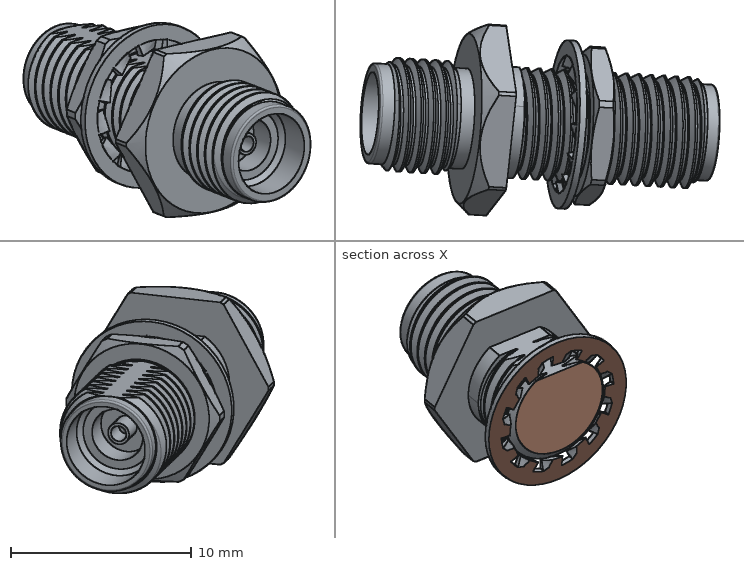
import cadquery as cq
import math

AXIS = cq.Vector(1, 0, 0)

LENGTH = 19.3
LEFT_THREAD_START = 0.71
COLLAR_START = 11.2
FLANGE_START = 12.15
FLANGE_END = 13.95
RIGHT_THREAD_START = 14.73
RIGHT_THREAD_END = 18.49

LEFT_SLEEVE_R = 2.68
RIGHT_SLEEVE_R = 2.8
SLEEVE_FILLET = 0.12
FLAT_HEIGHT = 2.66

THREAD_R = 3.17
PITCH = 0.706
CREST_WIDTH = 0.12
FLANK_SLOPE = math.tan(math.radians(30))
LEFT_ROOT_R = 2.72
RIGHT_ROOT_R = 2.78
LEFT_CREST_X = 0.93
RIGHT_CREST_X = 15.07
LEAD = 0.58
RIDGE_EMBED = 0.05

FLANGE_FLATS = 9.53
FLANGE_CORNER_R = 5.45
FLANGE_FACE_R = 4.73
FLANGE_CHAMFER = 0.81

MOUTH_R = 2.3
MOUTH_DEPTH = 1.74
SEAT_R = 2.0
CAVITY_R = 1.49
CAVITY_DEPTH = 1.55
CONTACT_R = 0.62
CONTACT_BORE_R = 0.45
CONTACT_RECESS = 0.2

NUT_START = 6.23
NUT_THICKNESS = 1.22
NUT_FLATS = 7.97
NUT_CORNER_R = 4.5
NUT_FACE_R = 3.95
NUT_CHAMFER = 0.21
NUT_COUNTERSINK_R = 3.05

WASHER_START = 7.99
WASHER_THICKNESS = 0.39
WASHER_R = 4.69
WASHER_RING_R = 3.82
TOOTH_COUNT = 12
TOOTH_WIDTH = 1.27
TOOTH_THICKNESS = 0.35
TOOTH_TIP_R = 3.18
TOOTH_TWIST = 22.0
TOOTH_EMBED = 0.05
FIRST_TOOTH_ANGLE = 5.0


def turned(profile):
    """Revolve a closed (x, radius) outline about the X axis."""
    return cq.Workplane("XY").polyline(profile).close().revolve(360, (0, 0, 0), (1, 0, 0))


def cylinder(start, end, radius):
    return cq.Workplane("YZ", origin=(start, 0, 0)).circle(radius).extrude(end - start)


def hexagon(start, thickness, flats):
    """Hexagonal prism with two flats facing +Z and -Z."""
    corner_diameter = flats / math.cos(math.pi / 6)
    return cq.Workplane("YZ", origin=(start, 0, 0)).polygon(6, corner_diameter).extrude(thickness)


def screw_thread(start, end, crest_x, root_r):
    """Threaded rod that fills the whole length from start to end, ready to be trimmed."""
    first_crest = crest_x - math.ceil((crest_x - start) / PITCH + 0.5) * PITCH
    turns = math.ceil((end - first_crest) / PITCH + 0.5)
    crest_half = CREST_WIDTH / 2
    base_half = crest_half + (THREAD_R - root_r) * FLANK_SLOPE
    buried_r = root_r - RIDGE_EMBED
    profile = [
        (first_crest - base_half, buried_r),
        (first_crest - base_half, root_r),
        (first_crest - crest_half, THREAD_R),
        (first_crest + crest_half, THREAD_R),
        (first_crest + base_half, root_r),
        (first_crest + base_half, buried_r),
    ]
    edges = [
        cq.Wire.makeHelix(PITCH, turns * PITCH, radius, cq.Vector(x, 0, 0), AXIS) for x, radius in profile
    ]
    faces = [cq.Face.makeRuledSurface(edges[i - 1], edges[i]) for i in range(len(edges))]
    for corners in ([edge.startPoint() for edge in edges], [edge.endPoint() for edge in edges]):
        faces.append(cq.Face.makeFromWires(cq.Wire.makePolygon(corners, close=True)))
    ridge = cq.Workplane(cq.Solid.makeSolid(cq.Shell.makeShell(faces)))
    core = cylinder(first_crest - PITCH, first_crest + (turns + 1) * PITCH, root_r)
    return core.union(ridge, clean=False)


def left_threaded_rod():
    """Left thread without its flat: 45 degree lead at the outer end, square at the collar."""
    envelope = turned([
        (LEFT_THREAD_START, 0),
        (LEFT_THREAD_START, LEFT_ROOT_R),
        (LEFT_THREAD_START + LEAD, LEFT_ROOT_R + LEAD),
        (COLLAR_START, LEFT_ROOT_R + LEAD),
        (COLLAR_START, 0),
    ])
    rod = screw_thread(LEFT_THREAD_START, COLLAR_START, LEFT_CREST_X, LEFT_ROOT_R)
    return rod.intersect(envelope, clean=False)


def right_threaded_rod():
    """Right thread with a 45 degree lead at both ends."""
    envelope = turned([
        (RIGHT_THREAD_START, 0),
        (RIGHT_THREAD_START, RIGHT_SLEEVE_R),
        (RIGHT_THREAD_START + LEAD, RIGHT_SLEEVE_R + LEAD),
        (RIGHT_THREAD_END - LEAD, RIGHT_SLEEVE_R + LEAD),
        (RIGHT_THREAD_END, RIGHT_SLEEVE_R),
        (RIGHT_THREAD_END, 0),
    ])
    rod = screw_thread(RIGHT_THREAD_START, RIGHT_THREAD_END, RIGHT_CREST_X, RIGHT_ROOT_R)
    return rod.intersect(envelope, clean=False)


def flange():
    """Hexagon with trimmed corners and a conical chamfer on its right side."""
    envelope = turned([
        (FLANGE_START, 0),
        (FLANGE_START, FLANGE_CORNER_R),
        (FLANGE_END - FLANGE_CHAMFER, FLANGE_CORNER_R),
        (FLANGE_END, FLANGE_FACE_R),
        (FLANGE_END, 0),
    ])
    return hexagon(FLANGE_START, FLANGE_END - FLANGE_START, FLANGE_FLATS).intersect(envelope)


def socket():
    """Space inside the left end: mouth, conical seat, cavity around a hollow contact."""
    seat_x = MOUTH_DEPTH + MOUTH_R - SEAT_R
    floor_x = seat_x + CAVITY_DEPTH
    return turned([
        (0, 0),
        (0, MOUTH_R),
        (MOUTH_DEPTH, MOUTH_R),
        (seat_x, SEAT_R),
        (seat_x, CAVITY_R),
        (floor_x, CAVITY_R),
        (floor_x, CONTACT_R),
        (seat_x + CONTACT_RECESS, CONTACT_R),
        (seat_x + CONTACT_RECESS, CONTACT_BORE_R),
        (floor_x, CONTACT_BORE_R),
        (floor_x, 0),
    ])


def connector_left_half(left_rod):
    """Sleeve, threaded rod and collar, with the flat along the rod and collar."""
    flat_cut = (
        cq.Workplane("XY", origin=(LEFT_THREAD_START, 0, FLAT_HEIGHT))
        .box(FLANGE_START - LEFT_THREAD_START, 2 * THREAD_R, THREAD_R, centered=(False, True, False))
    )
    sleeve = cylinder(0, LEFT_THREAD_START, LEFT_SLEEVE_R).faces("<X").edges().fillet(SLEEVE_FILLET)
    collar = cylinder(COLLAR_START, FLANGE_START, THREAD_R)
    shank = left_rod.union(collar, clean=False).cut(flat_cut, clean=False)
    return shank.union(sleeve, clean=False).cut(socket(), clean=False)


def connector_right_half():
    """Flange, neck, threaded rod and sleeve; its socket mirrors the left one."""
    neck = cylinder(FLANGE_END, RIGHT_THREAD_START, RIGHT_SLEEVE_R)
    sleeve = cylinder(RIGHT_THREAD_END, LENGTH, RIGHT_SLEEVE_R).faces(">X").edges().fillet(SLEEVE_FILLET)
    right_socket = socket().mirror("YZ").translate((LENGTH, 0, 0))
    half = flange().union(neck)
    for part in (right_threaded_rod(), sleeve):
        half = half.union(part, clean=False)
    return half.cut(right_socket, clean=False)


def make_connector(left_rod):
    return connector_left_half(left_rod).union(connector_right_half(), clean=False)


def make_nut(left_rod):
    """Double-chamfered hex nut whose internal thread fits the left thread."""
    end = NUT_START + NUT_THICKNESS
    envelope = turned([
        (NUT_START, 0),
        (NUT_START, NUT_FACE_R),
        (NUT_START + NUT_CHAMFER, NUT_CORNER_R),
        (end - NUT_CHAMFER, NUT_CORNER_R),
        (end, NUT_FACE_R),
        (end, 0),
    ])
    sink = NUT_COUNTERSINK_R - LEFT_ROOT_R
    bore = turned([
        (NUT_START, 0),
        (NUT_START, NUT_COUNTERSINK_R),
        (NUT_START + sink, LEFT_ROOT_R),
        (end - sink, LEFT_ROOT_R),
        (end, NUT_COUNTERSINK_R),
        (end, 0),
    ])
    return hexagon(NUT_START, NUT_THICKNESS, NUT_FLATS).intersect(envelope).cut(bore).cut(left_rod)


def washer_tooth(angle):
    """Tooth pointing at the axis, twisted about its own length towards the tip."""
    middle_x = WASHER_START + WASHER_THICKNESS / 2
    root_r = WASHER_RING_R + TOOTH_EMBED
    tooth = (
        cq.Workplane("XY", origin=(middle_x, 0, TOOTH_TIP_R))
        .transformed(rotate=(0, 0, TOOTH_TWIST))
        .rect(TOOTH_THICKNESS, TOOTH_WIDTH)
        .transformed(rotate=(0, 0, -TOOTH_TWIST), offset=(0, 0, root_r - TOOTH_TIP_R))
        .rect(TOOTH_THICKNESS, TOOTH_WIDTH)
        .loft(ruled=True)
    )
    return tooth.rotate((0, 0, 0), (1, 0, 0), angle)


def make_lock_washer():
    washer = (
        cq.Workplane("YZ", origin=(WASHER_START, 0, 0))
        .circle(WASHER_R)
        .circle(WASHER_RING_R)
        .extrude(WASHER_THICKNESS)
    )
    for index in range(TOOTH_COUNT):
        washer = washer.union(washer_tooth(FIRST_TOOTH_ANGLE + index * 360 / TOOTH_COUNT))
    return washer


left_rod = left_threaded_rod()
connector = make_connector(left_rod)
nut = make_nut(left_rod)
lock_washer = make_lock_washer()

result = cq.Compound.makeCompound([connector.val(), nut.val(), lock_washer.val()])